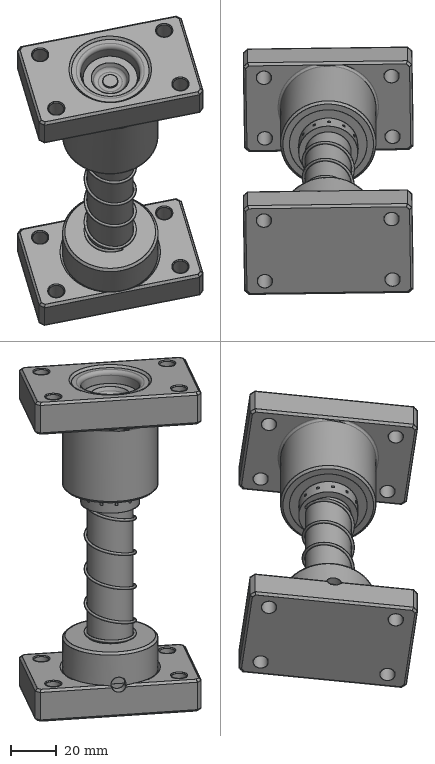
import cadquery as cq
import math

TOTAL_HEIGHT = 150.8

PLATE_LENGTH = 74.0
PLATE_WIDTH = 44.0
PLATE_THICKNESS = 15.1
PLATE_ANGLE = 32.0
PLATE_CORNER_CHAMFER = 2.0
PLATE_EDGE_CHAMFER = 1.0
BOLT_SPACING_LONG = 56.1
BOLT_SPACING_SHORT = 30.0
BOLT_HOLE_RADIUS = 3.3
BOLT_HOLE_CHAMFER = 0.5

BOSS_RADIUS = 21.0
BOSS_CHAMFER = 1.0
COLLAR_TOP = 30.0
SEAT_DEPTH = 1.0
PRY_HOLE_RADIUS = 3.3
PRY_HOLE_DEPTH = 4.5
PILLAR_RADIUS = 10.1

BARREL_LOWER_END = 100.5
BARREL_FILLET = 1.0
LINER_RADIUS = 17.0
LINER_RECESS = 1.0
LINER_BORE_RADIUS = 13.0
LINER_BORE_FILLET = 2.0

CAGE_LOWER_END = 92.9
CAGE_UPPER_END = 138.7
DOME_COUNT = 12
DOME_PHASE = 4.5
DOME_RADIUS = 1.0
DOME_PROJECTION = 0.23
DOME_HEIGHT = 4.0

RETAINER_RADIUS = 11.9
RETAINER_TOP = 144.3
RECESS_FLOOR_RADIUS = 5.3
RECESS_FLOOR_HEIGHT = 141.5
RECESS_CORNER_RADIUS = 2.4
RECESS_WALL_SLOPE = 60.0
SCREW_RADIUS = 3.3
SCREW_TOP = 142.3
SCREW_LENGTH = 15.1

WIRE_RADIUS = 0.6
COIL_RADIUS = 10.9
OPEN_PITCH = 16.1
CLOSED_PITCH = 1.4
CLOSED_TURN_ANGLE = 317.0
POINTS_PER_TURN = 16

BASE_TOP = PLATE_THICKNESS
SEAT_FLOOR = BASE_TOP - SEAT_DEPTH
TOP_PLATE_BOTTOM = TOTAL_HEIGHT - PLATE_THICKNESS
LINER_TOP = TOTAL_HEIGHT - LINER_RECESS
SCREW_END = SCREW_TOP - SCREW_LENGTH


def cylinder(radius, bottom, top):
    return cq.Workplane("XY").workplane(offset=bottom).circle(radius).extrude(top - bottom)


def countersink(radius, top, size):
    """45 degree cone that widens from the radius to the radius plus its size at the top."""
    profile = [(0, top - size), (radius, top - size), (radius + size, top), (0, top)]
    return cq.Workplane("XZ").polyline(profile).close().revolve(360, (0, 0, 0), (0, 1, 0))


def turned(body):
    """Turn a body from plate directions to its final direction about the pillar axis."""
    return body.rotate((0, 0, 0), (0, 0, 1), PLATE_ANGLE)


def plate(bottom):
    """Chamfered plate with four bolt holes that are chamfered on the upper face."""
    top = bottom + PLATE_THICKNESS
    body = (
        cq.Workplane("XY")
        .workplane(offset=bottom)
        .rect(PLATE_LENGTH, PLATE_WIDTH)
        .extrude(PLATE_THICKNESS)
        .edges("|Z")
        .chamfer(PLATE_CORNER_CHAMFER)
        .faces("<Z or >Z")
        .edges()
        .chamfer(PLATE_EDGE_CHAMFER)
    )
    bolt_hole = cylinder(BOLT_HOLE_RADIUS, bottom, top)
    bolt_hole = bolt_hole.union(countersink(BOLT_HOLE_RADIUS, top, BOLT_HOLE_CHAMFER))
    for x in (-BOLT_SPACING_LONG / 2, BOLT_SPACING_LONG / 2):
        for y in (-BOLT_SPACING_SHORT / 2, BOLT_SPACING_SHORT / 2):
            body = body.cut(bolt_hole.translate((x, y, 0)))
    return turned(body)


def pry_hole():
    """Round blind hole in the middle of the long +Y edge, centred on the base plate's top face."""
    return turned(
        cq.Workplane("XZ", origin=(0, PLATE_WIDTH / 2, BASE_TOP))
        .circle(PRY_HOLE_RADIUS)
        .extrude(PRY_HOLE_DEPTH)
    )


def make_base_plate():
    """Plate with a shallow conical-edged seat for the collar and the pillar."""
    return plate(0).cut(countersink(BOSS_RADIUS, BASE_TOP, SEAT_DEPTH)).cut(pry_hole())


def make_collar():
    body = cylinder(BOSS_RADIUS, SEAT_FLOOR, COLLAR_TOP).faces(">Z").edges().chamfer(BOSS_CHAMFER)
    return body.cut(cylinder(PILLAR_RADIUS, SEAT_FLOOR, COLLAR_TOP)).cut(pry_hole())


def barrel_fillet():
    """Rounded ring between barrel and plate, cut off at the flat underside of the plate."""
    outer = BOSS_RADIUS + BARREL_FILLET
    lower = TOP_PLATE_BOTTOM - BARREL_FILLET
    ring = (
        cq.Workplane("XZ")
        .moveTo(LINER_RADIUS, lower)
        .lineTo(BOSS_RADIUS, lower)
        .radiusArc((outer, TOP_PLATE_BOTTOM), BARREL_FILLET)
        .lineTo(LINER_RADIUS, TOP_PLATE_BOTTOM)
        .close()
        .revolve(360, (0, 0, 0), (0, 1, 0))
    )
    underside = (
        cq.Workplane("XY")
        .workplane(offset=lower)
        .rect(PLATE_LENGTH - 2 * PLATE_EDGE_CHAMFER, PLATE_WIDTH - 2 * PLATE_EDGE_CHAMFER)
        .extrude(BARREL_FILLET)
    )
    return ring.intersect(turned(underside))


def make_housing():
    barrel = cylinder(BOSS_RADIUS, BARREL_LOWER_END, TOP_PLATE_BOTTOM)
    barrel = barrel.faces("<Z").edges().chamfer(BOSS_CHAMFER)
    body = plate(TOP_PLATE_BOTTOM).union(barrel).union(barrel_fillet())
    body = body.cut(cylinder(LINER_RADIUS, BARREL_LOWER_END, TOTAL_HEIGHT))
    return body.cut(countersink(LINER_RADIUS, TOTAL_HEIGHT, LINER_RECESS))


def make_liner():
    """Sleeve in the housing with a rounded upper bore edge."""
    body = cylinder(LINER_RADIUS, BARREL_LOWER_END, LINER_TOP)
    body = body.cut(cylinder(LINER_BORE_RADIUS, BARREL_LOWER_END, LINER_TOP))
    return body.faces(">Z").edges(cq.selectors.RadiusNthSelector(0)).fillet(LINER_BORE_FILLET)


def make_pillar():
    body = cylinder(PILLAR_RADIUS, SEAT_FLOOR, CAGE_UPPER_END)
    return body.cut(cylinder(SCREW_RADIUS, SCREW_END, CAGE_UPPER_END))


def make_cage():
    """Sleeve between pillar and liner, with a ring of low domes below the liner."""
    body = cylinder(LINER_BORE_RADIUS, CAGE_LOWER_END, CAGE_UPPER_END)
    centre_radius = LINER_BORE_RADIUS + DOME_PROJECTION - DOME_RADIUS
    for index in range(DOME_COUNT):
        dome = cq.Workplane("XY").sphere(DOME_RADIUS)
        dome = dome.translate((centre_radius, 0, CAGE_LOWER_END + DOME_HEIGHT))
        body = body.union(dome.rotate((0, 0, 0), (0, 0, 1), DOME_PHASE + index * 360 / DOME_COUNT))
    return body.cut(cylinder(PILLAR_RADIUS, CAGE_LOWER_END, CAGE_UPPER_END))


def make_retainer():
    """Disc with a tapered recess that runs through a rounded corner into a flat floor."""
    slope = math.radians(RECESS_WALL_SLOPE)
    wall_end_radius = RECESS_FLOOR_RADIUS + RECESS_CORNER_RADIUS * math.sin(slope)
    wall_end_height = RECESS_FLOOR_HEIGHT + RECESS_CORNER_RADIUS * (1 - math.cos(slope))
    mouth_radius = wall_end_radius + (RETAINER_TOP - wall_end_height) / math.tan(slope)
    return (
        cq.Workplane("XZ")
        .moveTo(SCREW_RADIUS, CAGE_UPPER_END)
        .lineTo(RETAINER_RADIUS, CAGE_UPPER_END)
        .lineTo(RETAINER_RADIUS, RETAINER_TOP)
        .lineTo(mouth_radius, RETAINER_TOP)
        .lineTo(wall_end_radius, wall_end_height)
        .radiusArc((RECESS_FLOOR_RADIUS, RECESS_FLOOR_HEIGHT), RECESS_CORNER_RADIUS)
        .lineTo(SCREW_RADIUS, RECESS_FLOOR_HEIGHT)
        .close()
        .revolve(360, (0, 0, 0), (0, 1, 0))
    )


def make_screw():
    return cylinder(SCREW_RADIUS, SCREW_END, SCREW_TOP)


def make_spring():
    """Wire with one closed turn on the collar, then open turns up to the cage."""
    first_height = COLLAR_TOP + WIRE_RADIUS
    last_height = CAGE_LOWER_END - WIRE_RADIUS
    open_turns = (last_height - first_height - CLOSED_PITCH) / OPEN_PITCH
    turns = 1 + open_turns
    steps = round(turns * POINTS_PER_TURN)
    points = []
    for step in range(steps + 1):
        turn = turns * step / steps
        angle = math.radians(CLOSED_TURN_ANGLE - 360 * turn)
        height = first_height + CLOSED_PITCH * min(turn, 1) + OPEN_PITCH * max(turn - 1, 0)
        points.append(cq.Vector(COIL_RADIUS * math.cos(angle), COIL_RADIUS * math.sin(angle), height))
    path = cq.Edge.makeSpline(points)
    start = cq.Plane(origin=points[0], normal=path.tangentAt(0))
    return cq.Workplane(start).circle(WIRE_RADIUS).sweep(cq.Workplane(path), isFrenet=True)


base_plate = make_base_plate()
collar = make_collar()
pillar = make_pillar()
spring = make_spring()
housing = make_housing()
liner = make_liner()
cage = make_cage()
retainer = make_retainer()
screw = make_screw()

result = cq.Compound.makeCompound(
    [
        base_plate.val(),
        collar.val(),
        pillar.val(),
        spring.val(),
        housing.val(),
        liner.val(),
        cage.val(),
        retainer.val(),
        screw.val(),
    ]
)